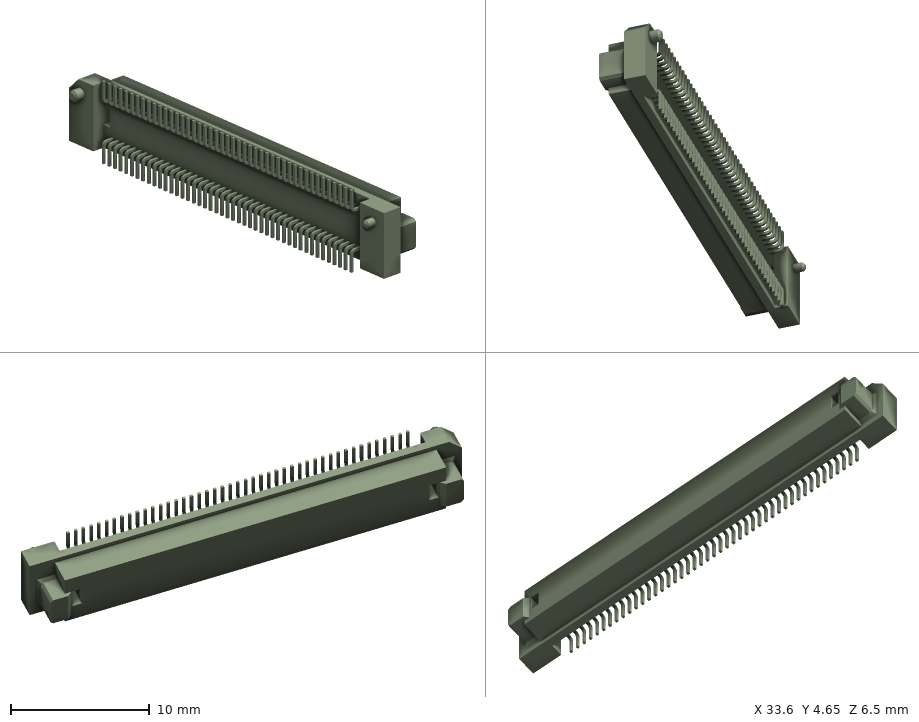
import cadquery as cq
import math


length = 33.6
flange_height = 5.17
flange_thickness = 1.6
corner_chamfer = 1.0
floor_y = 1.0
foot_length = 2.6
block_length = 29.65
block_height = 4.35
block_top_y = 3.5

tab_end_inset = 0.75
tab_height = 2.42
tab_z = -0.45
tab_top_y = 3.8
tab_edge_chamfer = 0.2
tab_top_inset = 2.1
tab_slope_inset = 2.5
plinth_height = 0.3
plinth_overhang = 0.17

slot_length = 0.7
slot_height = 1.55

peg_length = 0.85
peg_inset = 1.2
peg_z = 1.5
large_peg_diameter = 0.9
small_peg_diameter = 0.67
peg_chamfer = 0.17
peg_chamfer_length = 0.17

contacts_per_row = 45
contact_span = 26.4
contact_thickness = 0.2
contact_width = 0.2
contact_inner_z = 1.48
contact_tip_spacing = 6.5
bend_inner_radius = 0.2
embed = 0.17

half_length = length / 2
contact_tip_z = contact_tip_spacing / 2
contact_pitch = contact_span / (contacts_per_row - 1)


def box(x_min, x_max, y_min, y_max, height):
    """Block centred on Z = 0."""
    size = (x_max - x_min, y_max - y_min, height)
    center = ((x_min + x_max) / 2, (y_min + y_max) / 2, 0)
    return cq.Workplane("XY").box(*size).translate(center)


def make_body():
    flange = box(-half_length, half_length, 0, flange_thickness, flange_height)
    flange = flange.edges("|Y and <X and >Z").chamfer(corner_chamfer)
    recess_end = half_length - foot_length
    recess = box(-recess_end, recess_end, 0, floor_y, flange_height)
    block = box(-block_length / 2, block_length / 2, floor_y, block_top_y, block_height)
    return flange.cut(recess).union(block)


def make_right_tab():
    outer_x = half_length - tab_end_inset
    top_inner_x = half_length - tab_top_inset
    slope_end_x = half_length - tab_slope_inset
    plinth_top_y = flange_thickness + plinth_height
    tab = (
        cq.Workplane("XY")
        .moveTo(outer_x, plinth_top_y)
        .lineTo(outer_x, tab_top_y)
        .lineTo(top_inner_x, tab_top_y)
        .lineTo(slope_end_x, block_top_y)
        .lineTo(slope_end_x, plinth_top_y)
        .close()
        .extrude(tab_height / 2, both=True)
    )
    tab = tab.faces(">X").edges("|Y").chamfer(tab_edge_chamfer)
    plinth = box(slope_end_x, outer_x + plinth_overhang, flange_thickness - embed, plinth_top_y,
                 tab_height + 2 * plinth_overhang)
    plinth = plinth.faces(">Y").edges(">X or >Z or <Z").chamfer(plinth_height)
    return tab.union(plinth).translate((0, 0, tab_z))


def make_slot(x_min):
    return box(x_min, x_min + slot_length, 0, tab_top_y, slot_height)


def make_peg(x, diameter):
    radius = diameter / 2
    profile = (
        cq.Workplane("XY")
        .moveTo(0, embed)
        .lineTo(radius, embed)
        .lineTo(radius, peg_chamfer_length - peg_length)
        .lineTo(radius - peg_chamfer, -peg_length)
        .lineTo(0, -peg_length)
        .close()
    )
    return profile.revolve(360, (0, 0, 0), (0, 1, 0)).translate((x, 0, peg_z))


def make_upper_contact():
    """Bent contact in the YZ plane: a leg out of the floor, then a foot along +Z."""
    outer_radius = bend_inner_radius + contact_thickness
    bend_z = contact_inner_z + outer_radius
    bend_y = outer_radius
    diagonal = math.sqrt(0.5)
    outer_mid = (bend_y - outer_radius * diagonal, bend_z - outer_radius * diagonal)
    inner_mid = (bend_y - bend_inner_radius * diagonal, bend_z - bend_inner_radius * diagonal)
    return (
        cq.Workplane("YZ")
        .moveTo(floor_y + embed, contact_inner_z)
        .lineTo(bend_y, contact_inner_z)
        .threePointArc(outer_mid, (0, bend_z))
        .lineTo(0, contact_tip_z)
        .lineTo(contact_thickness, contact_tip_z)
        .lineTo(contact_thickness, bend_z)
        .threePointArc(inner_mid, (bend_y, contact_inner_z + contact_thickness))
        .lineTo(floor_y + embed, contact_inner_z + contact_thickness)
        .close()
        .extrude(contact_width / 2, both=True)
    )


def add_contacts(body):
    upper = make_upper_contact()
    lower = upper.mirror("XY")
    contacts = []
    for index in range(contacts_per_row):
        x = index * contact_pitch - contact_span / 2
        for contact in (upper, lower):
            contacts.append(contact.translate((x, 0, 0)).val())
    return cq.Workplane(body.val().fuse(*contacts))


right_tab = make_right_tab()
slot_start = half_length - foot_length
result = make_body().union(right_tab).union(right_tab.mirror("YZ"))
result = result.cut(make_slot(-slot_start)).cut(make_slot(slot_start - slot_length))
result = result.union(make_peg(peg_inset - half_length, large_peg_diameter))
result = result.union(make_peg(half_length - peg_inset, small_peg_diameter))
result = add_contacts(result)